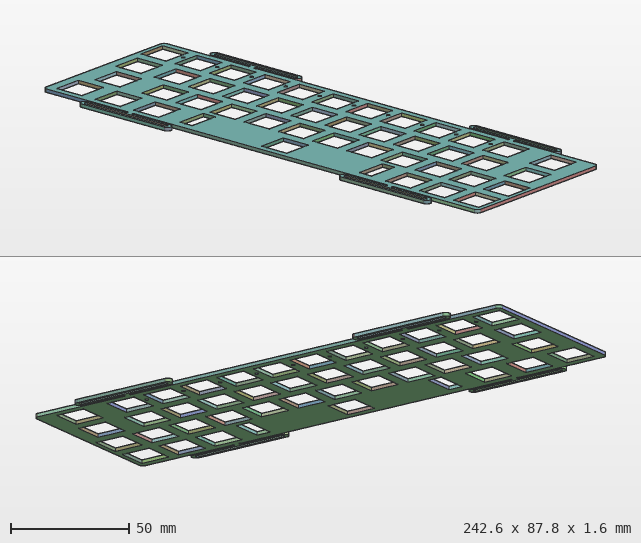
import cadquery as cq


key_unit = 19.05
switch_size = 13.97
key_rows = [
    [1.0] * 11 + [1.75],
    [1.25] + [1.0] * 10 + [1.5],
    [1.75] + [1.0] * 11,
    [1.25, 1.0, 1.25, 6.25, 1.0, 1.0, 1.0],
]
row_width_units = sum(key_rows[0])
space_row = 3
space_index = 3

plate_length = 242.59
overall_width = 87.8
thickness = 1.6
corner_radius = 2.0

loop_length = 50.0
loop_width = 4.0
loop_gap = 1.0
loop_slot_length = 46.0
loop_slot_width = 1.5
loop_offset_x = 72.35
bridge_width = 3.0
plate_width = overall_width - 2 * (loop_width + loop_gap)

stabilizer_offset_x = 50.0
stabilizer_size_x = 6.75
stabilizer_size_y = 15.0
stabilizer_shift_y = 1.5

small_hole_diameter = 1.5
small_hole_count = 10
small_hole_shift_y = 1.15


def row_center_y(row):
    return ((len(key_rows) - 1) / 2 - row) * key_unit


def key_center_x(row, index):
    widths = key_rows[row]
    units_from_left = sum(widths[:index]) + widths[index] / 2
    return (units_from_left - row_width_units / 2) * key_unit


def mirrored_points(x, y):
    return [(side_x * x, side_y * y) for side_x in (-1, 1) for side_y in (-1, 1)]


def prisms_at(centers, draw_outline):
    """Full-thickness prisms with the same outline drawn at every centre."""
    return draw_outline(cq.Workplane("XY").pushPoints(centers)).extrude(thickness)


def make_plate():
    plate = cq.Workplane("XY").rect(plate_length, plate_width).extrude(thickness)
    return plate.edges("|Z").fillet(corner_radius)


def add_loops(body):
    loop_y = (overall_width - loop_width) / 2
    bridge_y = (plate_width + loop_gap) / 2
    bar_width = (loop_width - loop_slot_width) / 2
    bridge_length = loop_gap + bar_width
    loop_centers = mirrored_points(loop_offset_x, loop_y)
    bridge_centers = mirrored_points(loop_offset_x, bridge_y)
    loops = prisms_at(loop_centers, lambda points: points.slot2D(loop_length, loop_width))
    slots = prisms_at(loop_centers, lambda points: points.slot2D(loop_slot_length, loop_slot_width))
    bridges = prisms_at(bridge_centers, lambda points: points.rect(bridge_width, bridge_length))
    return body.union(loops.cut(slots)).union(bridges)


def cut_switches(body):
    centers = [
        (key_center_x(row, index), row_center_y(row))
        for row, widths in enumerate(key_rows)
        for index in range(len(widths))
    ]
    return body.cut(prisms_at(centers, lambda points: points.rect(switch_size, switch_size)))


def cut_stabilizers(body):
    space_x = key_center_x(space_row, space_index)
    center_y = row_center_y(space_row) + stabilizer_shift_y
    centers = [(space_x + side * stabilizer_offset_x, center_y) for side in (-1, 1)]
    return body.cut(prisms_at(centers, lambda points: points.rect(stabilizer_size_x, stabilizer_size_y)))


def cut_small_holes(body):
    center_y = row_center_y(0) + small_hole_shift_y
    centers = [(key_center_x(0, index) + key_unit / 2, center_y) for index in range(small_hole_count)]
    return body.cut(prisms_at(centers, lambda points: points.circle(small_hole_diameter / 2)))


body = make_plate()
body = add_loops(body)
body = cut_switches(body)
body = cut_stabilizers(body)
result = cut_small_holes(body)